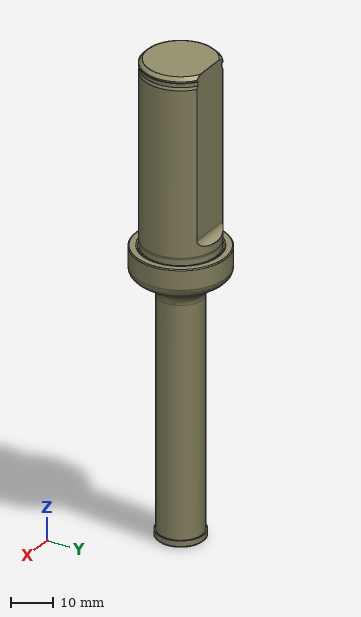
import cadquery as cq
import math

TOTAL_HEIGHT = 128
SHANK_DIAMETER = 20.0
GROOVE_DIAMETER = 19.5
NECK_DIAMETER = 19.7
COLLAR_DIAMETER = 25.0
ROD_DIAMETER = 11.9
HEAD_DIAMETER = 12.7
TIP_DIAMETER = 2.7

shank_radius = SHANK_DIAMETER / 2
groove_radius = GROOVE_DIAMETER / 2
neck_radius = NECK_DIAMETER / 2
collar_radius = COLLAR_DIAMETER / 2
rod_radius = ROD_DIAMETER / 2
head_radius = HEAD_DIAMETER / 2
tip_radius = TIP_DIAMETER / 2

END_CHAMFER = 0.9
GROOVE_TOP_DEPTH = 1.4
GROOVE_FLOOR_END_DEPTH = 2.5
GROOVE_BOTTOM_DEPTH = 3.3

NECK_HEIGHT = 1.8
NECK_TAPER_HEIGHT = 0.5
UNDERCUT_DEPTH = 0.3
UNDERCUT_FLOOR_DIAMETER = 20.5
UNDERCUT_RIM_DIAMETER = 21.2

undercut_floor_radius = UNDERCUT_FLOOR_DIAMETER / 2
undercut_rim_radius = UNDERCUT_RIM_DIAMETER / 2

COLLAR_TOP_Z = 78.1
COLLAR_CHAMFER = 0.3
CONE_TOP_Z = 71.3
CONE_ANGLE = 35
COLLAR_EDGE_ROUND = 2.5
ROD_FILLET = 3.3

neck_top_z = COLLAR_TOP_Z + NECK_HEIGHT
cone_bottom_z = CONE_TOP_Z - (collar_radius - rod_radius) * math.tan(math.radians(CONE_ANGLE))

FLAT_DISTANCE = 8.0
FLAT_END_Z = 81.8
RUNOUT_RADIUS = 2.3

HEAD_HEIGHT = 2.2
HEAD_BEVEL = 0.4
POINT_HEIGHT = 0.32


def revolve_profile(points):
    """Revolve (radius, z) points about the Z axis."""
    return cq.Workplane("XZ").polyline(points).close().revolve(360, (0, 0), (0, 1))


def circle_edges_at(body, radius, z):
    """Select the circular edge of the given radius at the given height."""
    tolerance = 0.01
    corner = radius + tolerance
    box = cq.selectors.BoxSelector(
        (-corner, -corner, z - tolerance), (corner, corner, z + tolerance), boundingbox=True
    )
    return body.edges(box)


def make_flat_cutter():
    """Block that cuts the flat, with a rounded lower inner edge for the runout."""
    cutter_depth = 2 * RUNOUT_RADIUS
    cutter_height = TOTAL_HEIGHT - FLAT_END_Z
    return (
        cq.Workplane("XY")
        .box(SHANK_DIAMETER, cutter_depth, cutter_height, centered=(True, False, False))
        .translate((0, FLAT_DISTANCE, FLAT_END_Z))
        .edges("|X and <Y and <Z")
        .fillet(RUNOUT_RADIUS)
    )


def make_holder():
    """Shank, collar and rod, down to the top of the cutting head."""
    holder = revolve_profile([
        (0, TOTAL_HEIGHT),
        (shank_radius - END_CHAMFER, TOTAL_HEIGHT),
        (shank_radius, TOTAL_HEIGHT - END_CHAMFER),
        (shank_radius, TOTAL_HEIGHT - GROOVE_TOP_DEPTH),
        (groove_radius, TOTAL_HEIGHT - GROOVE_TOP_DEPTH),
        (groove_radius, TOTAL_HEIGHT - GROOVE_FLOOR_END_DEPTH),
        (shank_radius, TOTAL_HEIGHT - GROOVE_BOTTOM_DEPTH),
        (shank_radius, neck_top_z),
        (neck_radius, neck_top_z - NECK_TAPER_HEIGHT),
        (neck_radius, COLLAR_TOP_Z - UNDERCUT_DEPTH),
        (undercut_floor_radius, COLLAR_TOP_Z - UNDERCUT_DEPTH),
        (undercut_rim_radius, COLLAR_TOP_Z),
        (collar_radius - COLLAR_CHAMFER, COLLAR_TOP_Z),
        (collar_radius, COLLAR_TOP_Z - COLLAR_CHAMFER),
        (collar_radius, CONE_TOP_Z),
        (rod_radius, cone_bottom_z),
        (rod_radius, HEAD_HEIGHT),
        (0, HEAD_HEIGHT),
    ])
    holder = circle_edges_at(holder, collar_radius, CONE_TOP_Z).fillet(COLLAR_EDGE_ROUND)
    holder = circle_edges_at(holder, rod_radius, cone_bottom_z).fillet(ROD_FILLET)
    return holder.cut(make_flat_cutter())


def make_cutting_head():
    """Short wider disc with a beveled rim and a shallow blunt point."""
    return revolve_profile([
        (0, HEAD_HEIGHT),
        (head_radius, HEAD_HEIGHT),
        (head_radius, POINT_HEIGHT + HEAD_BEVEL),
        (head_radius - HEAD_BEVEL, POINT_HEIGHT),
        (tip_radius, 0),
        (0, 0),
    ])


holder = make_holder()
cutting_head = make_cutting_head()

result = cq.Compound.makeCompound([holder.val(), cutting_head.val()])